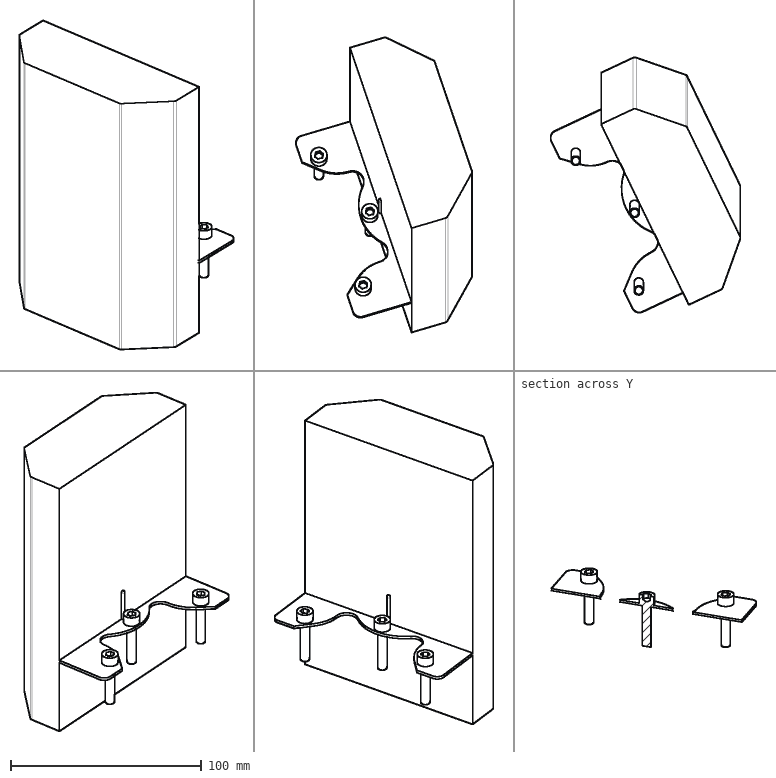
import cadquery as cq
import math

width = 107.0
height = 150
housing_depth = 40.0
bevel = 20.5
side_edge_radius = 2.2
front_edge_radius = 1.5
half_width = width / 2

plate_reach = 30.9
plate_thickness = 1.5
plate_bottom = 42.5
plate_corner_radius = 4.0
plate_top = plate_bottom + plate_thickness

hump_height = 11.0
hump_radius = 25.0
valley_floor = 3
valley_radius = 6
shoulder_radius = 21
shoulder_turn = 42

shank_diameter = 5.0
shank_length = 24.9
shank_tip_chamfer = 0.5
head_diameter = 8.5
head_height = 5.1
socket_width = 4.0
socket_depth = 2.5
socket_tip_depth = 1.2
side_screw_x = 38.4
side_screw_y = 21.9
middle_screw_y = 6

bead_radius = 1.0
bead_top = 61.2


def make_housing():
    front_half = half_width - bevel
    bevel_y = bevel - housing_depth
    outline = [
        (-half_width, 0),
        (-half_width, bevel_y),
        (-front_half, -housing_depth),
        (front_half, -housing_depth),
        (half_width, bevel_y),
        (half_width, 0),
    ]
    body = cq.Workplane("XY").polyline(outline).close().extrude(height)
    body = body.edges("|Z and <Y").fillet(front_edge_radius)

    def outer_bend(side):
        reach = 0.2
        return cq.selectors.BoxSelector(
            (side * half_width - reach, bevel_y - reach, -reach),
            (side * half_width + reach, bevel_y + reach, height + reach),
        )

    for side in (-1, 1):
        body = body.edges(outer_bend(side)).fillet(side_edge_radius)
    return body


def make_plate():
    hump_centre_y = hump_height - hump_radius
    valley_y = valley_floor + valley_radius
    centre_rise = valley_y - hump_centre_y
    centre_gap = hump_radius + valley_radius
    valley_x = math.sqrt(centre_gap**2 - centre_rise**2)
    hump_share = hump_radius / centre_gap
    hump_end = (valley_x * hump_share, hump_centre_y + centre_rise * hump_share)

    shoulder_start = (valley_x + valley_radius, valley_y)
    shoulder_x = shoulder_start[0] + shoulder_radius
    turn = math.radians(shoulder_turn)

    def on_shoulder(angle):
        return (
            shoulder_x - shoulder_radius * math.cos(angle),
            valley_y + shoulder_radius * math.sin(angle),
        )

    shoulder_middle = on_shoulder(turn / 2)
    shoulder_end = on_shoulder(turn)
    slope_rise = plate_reach - shoulder_end[1]
    notch_corner = (shoulder_end[0] + slope_rise * math.tan(turn), plate_reach)

    def mirrored(point):
        return (-point[0], point[1])

    plate = (
        cq.Workplane("XY", origin=(0, 0, plate_bottom))
        .moveTo(-half_width, 0)
        .lineTo(-half_width, plate_reach)
        .lineTo(*mirrored(notch_corner))
        .lineTo(*mirrored(shoulder_end))
        .threePointArc(mirrored(shoulder_middle), mirrored(shoulder_start))
        .threePointArc((-valley_x, valley_floor), mirrored(hump_end))
        .threePointArc((0, hump_height), hump_end)
        .threePointArc((valley_x, valley_floor), shoulder_start)
        .threePointArc(shoulder_middle, shoulder_end)
        .lineTo(*notch_corner)
        .lineTo(half_width, plate_reach)
        .lineTo(half_width, 0)
        .close()
        .extrude(plate_thickness)
    )
    corners = plate.edges("|Z and (<X or >X)").edges(">Y")
    return corners.fillet(plate_corner_radius)


def make_screw():
    head = cq.Workplane("XY").circle(head_diameter / 2).extrude(head_height)
    shank = (
        cq.Workplane("XY")
        .circle(shank_diameter / 2)
        .extrude(-shank_length)
        .faces("<Z")
        .chamfer(shank_tip_chamfer)
    )
    socket_floor = head_height - socket_depth
    socket = (
        cq.Workplane("XY", origin=(0, 0, socket_floor))
        .polygon(6, socket_width, circumscribed=True)
        .extrude(socket_depth)
    )
    socket_tip = cq.Solid.makeCone(
        0, socket_width / 2, socket_tip_depth, pnt=cq.Vector(0, 0, socket_floor - socket_tip_depth)
    )
    return head.union(shank).cut(socket).cut(cq.Workplane(socket_tip))


def make_bead():
    post_height = bead_top - bead_radius - plate_bottom
    post = cq.Workplane("XY", origin=(0, 0, plate_bottom)).circle(bead_radius).extrude(post_height)
    tip = cq.Workplane("XY", origin=(0, 0, bead_top - bead_radius)).sphere(bead_radius)
    return post.union(tip)


result = make_housing().union(make_plate()).union(make_bead())
screw_places = [(-side_screw_x, side_screw_y), (0, middle_screw_y), (side_screw_x, side_screw_y)]
for x, y in screw_places:
    result = result.union(make_screw().translate((x, y, plate_top)))